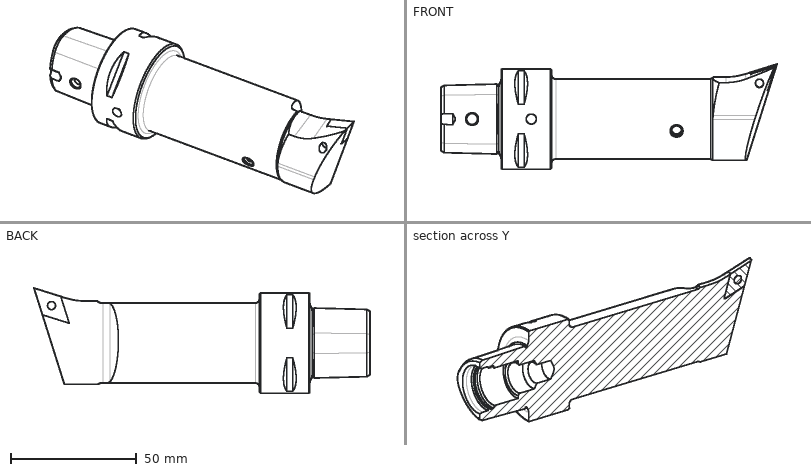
import cadquery as cq
import math


total_length = 134.0
taper_length = 24.0
tip_x = total_length - taper_length
tip_z = 22.0

lobe_offset = 6.7
lobe_radius_rear = 7.6
lobe_radius_front = 8.2
polygon_end_x = -1.7
rear_chamfer_length = 1.3
rear_chamfer_depth = 0.8
lobe_chamfer_length = 1.1
lobe_chamfer_depth = 1.5
neck_radius = 12.6
neck_end_x = -1.0
flare_start = (-0.8, 13.8)
flare_middle = (-0.3, 14.7)
flare_end_radius = 15.8

mouth_radius = 10.0
mouth_taper_length = 1.5
guide_radius = 9.6
guide_depth = 4.0
land_radius = 9.0
land_depth = 5.4
groove_radius = 9.4
groove_width = 1.3
step_chamfer = 0.5
inner_radius = 8.3
inner_depth = 18.8
pilot_radius = 6.3
pilot_chamfer = 0.8
pilot_depth = 26.8
drill_radius = 4.3
drill_depth = 34.8
drill_half_angle = math.radians(59)

key_slot_radius = 2.3
key_slot_y = -13.1
key_slot_length = 4.7
taper_hole_x = -11.5
taper_hole_radius = 2.1
taper_hole_rim_chamfer = 0.4
taper_hole_bottom_y = -10.2
taper_hole_flat_y = -12.7
flange_hole_x = 12.0
flange_hole_radius = 2.0
flange_hole_depth = 4.0

flange_radius = 40.0 / 2
flange_length = 20.2
flange_rear_chamfer = 0.4
flange_front_chamfer = 0.7
gripper_slot_x = 8.0
gripper_slot_floor_width = 2.3
gripper_slot_mouth_width = 5.1
gripper_slot_half_length = 9.4

shank_radius = 32.0 / 2
shank_end_x = 83.5
shank_fillet = 1.5

head_radius = 16.5
head_start_x = 84.4
head_flat_height = 1.6
head_upper_radius = 22.0
head_top_z = 16.8
head_top_fillet = 25.5
edge_angle = math.radians(17.5)
relief_angle = 7.0
chip_face_tilt = 3.2
ramp_foot_x = 80.3
ramp_angle = math.radians(15)
ramp_fillet = 3.0

insert_edge = 11.3
insert_thickness = 4.0
screw_radius = 1.6
screw_length = 10.7

plug_x = 70.0
plug_angle = 17.5
plug_radius = 2.0
plug_rim_radius = 2.5
plug_rim_depth = 0.5
plug_recess = 0.8
plug_length = 5.4

clearance = 40.2


def revolve_about_x(points):
    """Solid of revolution about the bar axis from (x, radius) points."""
    return cq.Workplane("XY").polyline(points).close().revolve(360, (0, 0, 0), (1, 0, 0))


def drill(radius, depth, rim_chamfer=0.0):
    """Drilled hole with a 45 degree rim chamfer, entering the XY plane from above towards -Z."""
    rim_radius = radius + rim_chamfer
    tip_depth = depth + radius / math.tan(drill_half_angle)
    points = [(0, clearance), (rim_radius, clearance)]
    if rim_chamfer > 0:
        points.append((rim_radius, 0))
    points += [(radius, -rim_chamfer), (radius, -depth), (0, -tip_depth)]
    return cq.Workplane("XZ").polyline(points).close().revolve(360, (0, 0, 0), (0, 1, 0))


def face_front(shape):
    """Turns a shape whose axis is +Z so that it points to -Y."""
    return shape.rotate((0, 0, 0), (1, 0, 0), 90)


def tilt_with_chip_face(shape):
    """Tilts a shape about the line through the cutting tip that is parallel to the bar axis."""
    return shape.rotate((0, 0, tip_z), (1, 0, tip_z), chip_face_tilt)


def polygon_outline(x, radius):
    """Closed outline of six tangent arcs in the plane at x: three lobes and three flat sides."""
    side_radius = radius + math.sqrt(3) * lobe_offset

    def centre(angle):
        return lobe_offset * math.cos(angle), lobe_offset * math.sin(angle)

    def arc_point(centre_angle, arc_radius, direction):
        y, z = centre(centre_angle)
        return y + arc_radius * math.cos(direction), z + arc_radius * math.sin(direction)

    outline = cq.Workplane("YZ", origin=(x, 0, 0)).moveTo(*arc_point(0, radius, -math.pi / 6))
    for lobe in range(3):
        axis = lobe * 2 * math.pi / 3
        side = axis + math.pi / 3
        outline = outline.threePointArc(
            arc_point(axis, radius, axis), arc_point(axis, radius, axis + math.pi / 6)
        )
        outline = outline.threePointArc(
            arc_point(side + math.pi, side_radius, side),
            arc_point(side + math.pi, side_radius, side + math.pi / 6),
        )
    return outline.close()


def polygon_frustum(x_start, radius_start, x_end, radius_end):
    """Straight loft between two outlines with the given lobe radii."""
    start = polygon_outline(x_start, radius_start).val()
    end = polygon_outline(x_end, radius_end).val()
    return cq.Workplane(cq.Solid.makeLoft([start, end], True))


def make_taper():
    """Polygon taper with chamfered ends, and the neck that flares into the gauge face."""
    rear = -taper_length
    chamfer_end = rear + rear_chamfer_length
    lobe_end = polygon_end_x + lobe_chamfer_length
    taper = polygon_frustum(rear, lobe_radius_rear - rear_chamfer_depth, chamfer_end, lobe_radius_rear)
    taper = taper.union(polygon_frustum(chamfer_end, lobe_radius_rear, polygon_end_x, lobe_radius_front))
    taper = taper.union(
        polygon_frustum(polygon_end_x, lobe_radius_front, lobe_end, lobe_radius_front - lobe_chamfer_depth)
    )
    neck = (
        cq.Workplane("XY")
        .moveTo(polygon_end_x, 0)
        .lineTo(polygon_end_x, neck_radius)
        .lineTo(neck_end_x, neck_radius)
        .lineTo(*flare_start)
        .threePointArc(flare_middle, (0, flare_end_radius))
        .lineTo(0, 0)
        .close()
        .revolve(360, (0, 0, 0), (1, 0, 0))
    )
    return taper.union(neck)


def coupling_bore():
    rear = -taper_length
    guide_end = rear + guide_depth
    land_end = rear + land_depth
    groove_end = land_end + groove_width
    inner_end = rear + inner_depth
    pilot_end = rear + pilot_depth
    drill_end = rear + drill_depth
    points = [
        (rear, 0),
        (rear, mouth_radius),
        (rear + mouth_taper_length, guide_radius),
        (guide_end, guide_radius),
        (guide_end + step_chamfer, land_radius),
        (land_end, land_radius),
        (land_end, groove_radius),
        (groove_end, groove_radius),
        (groove_end + step_chamfer, inner_radius),
        (inner_end, inner_radius),
        (inner_end, pilot_radius + pilot_chamfer),
        (inner_end + pilot_chamfer, pilot_radius),
        (pilot_end, pilot_radius),
        (pilot_end + (pilot_radius - drill_radius) / math.tan(drill_half_angle), drill_radius),
        (drill_end, drill_radius),
        (drill_end + drill_radius / math.tan(drill_half_angle), 0),
    ]
    return revolve_about_x(points)


def key_slot():
    """Round-bottomed slot with a conical end, open at the rear face."""
    slot = drill(key_slot_radius, key_slot_length)
    slot = slot.rotate((0, 0, 0), (0, 1, 0), -90)
    return slot.translate((-taper_length, key_slot_y, 0))


def taper_hole():
    depth = taper_hole_bottom_y - taper_hole_flat_y
    hole = drill(taper_hole_radius, depth, taper_hole_rim_chamfer)
    return face_front(hole).translate((taper_hole_x, taper_hole_flat_y, 0))


def flange_hole():
    hole = drill(flange_hole_radius, flange_hole_depth)
    return face_front(hole).translate((flange_hole_x, -flange_radius, 0))


def make_flange():
    flange = cq.Workplane("YZ").circle(flange_radius).extrude(flange_length)
    flange = flange.faces("<X").chamfer(flange_rear_chamfer)
    return flange.faces(">X").chamfer(flange_front_chamfer)


def gripper_slot(angle):
    """Straight slot with sloping flanks across the flange rim."""
    floor_height = math.sqrt(flange_radius**2 - gripper_slot_half_length**2)
    half_floor = gripper_slot_floor_width / 2
    flank_slope = (gripper_slot_mouth_width - gripper_slot_floor_width) / 2 / (flange_radius - floor_height)
    half_top = half_floor + flank_slope * (clearance - floor_height)
    points = [
        (gripper_slot_x - half_floor, floor_height),
        (gripper_slot_x + half_floor, floor_height),
        (gripper_slot_x + half_top, clearance),
        (gripper_slot_x - half_top, clearance),
    ]
    slot = cq.Workplane("XZ").polyline(points).close().extrude(gripper_slot_half_length, both=True)
    return slot.rotate((0, 0, 0), (1, 0, 0), angle)


def make_shank():
    shank = cq.Workplane("YZ").circle(shank_radius).extrude(shank_end_x)
    bend = shank_fillet * (1 - math.sqrt(0.5))
    fillet = (
        cq.Workplane("XY")
        .moveTo(flange_length, 0)
        .lineTo(flange_length, shank_radius + shank_fillet)
        .threePointArc(
            (flange_length + bend, shank_radius + bend), (flange_length + shank_fillet, shank_radius)
        )
        .lineTo(flange_length + shank_fillet, 0)
        .close()
        .revolve(360, (0, 0, 0), (1, 0, 0))
    )
    return shank.union(fillet).cut(chip_space())


def chip_space():
    """Space above the chip face, with a ramp and a rounded foot towards the shank."""
    ramp_run = clearance * math.tan(ramp_angle)
    points = [
        (ramp_foot_x, 0),
        (tip_x, 0),
        (tip_x, clearance),
        (ramp_foot_x - ramp_run, clearance),
    ]
    space = cq.Workplane("XY").polyline(points).close().extrude(clearance, both=True)
    space = space.edges("|Z and <Y").edges("<X").fillet(ramp_fillet)
    return tilt_with_chip_face(space)


def head_cutting_block():
    """Relieved block behind the chip face: flat top, rounded rise and the two cutting flanks."""
    rise_x = tip_x - (tip_z - head_top_z) / math.tan(edge_angle)
    tangent = head_top_fillet * math.tan(edge_angle / 2)
    rise_end = (rise_x + tangent * math.cos(edge_angle), head_top_z + tangent * math.sin(edge_angle))
    rise_middle = (
        rise_x - tangent + head_top_fillet * math.sin(edge_angle / 2),
        head_top_z + head_top_fillet * (1 - math.cos(edge_angle / 2)),
    )
    block_bottom = -clearance
    block_rear = shank_end_x - clearance
    block = (
        cq.Workplane("XZ")
        .moveTo(block_rear, head_top_z)
        .lineTo(rise_x - tangent, head_top_z)
        .threePointArc(rise_middle, rise_end)
        .lineTo(tip_x, tip_z)
        .lineTo(tip_x - (tip_z - block_bottom) * math.tan(edge_angle), block_bottom)
        .lineTo(block_rear, block_bottom)
        .close()
        .extrude(clearance / 2, taper=relief_angle)
    )
    return tilt_with_chip_face(block)


def head_section():
    """Bar of the head's cross-section: round below, larger arc above."""
    upper_centre_y = head_upper_radius - head_radius
    diagonal = math.sqrt(0.5)
    return (
        cq.Workplane("YZ", origin=(shank_end_x, 0, 0))
        .moveTo(upper_centre_y, -math.sqrt(head_radius**2 - upper_centre_y**2))
        .threePointArc((-head_radius * diagonal, -head_radius * diagonal), (-head_radius, 0))
        .lineTo(-head_radius, head_flat_height)
        .threePointArc(
            (
                upper_centre_y - head_upper_radius * diagonal,
                head_flat_height + head_upper_radius * diagonal,
            ),
            (upper_centre_y, head_flat_height + head_upper_radius),
        )
        .close()
        .extrude(clearance)
    )


def head_envelope():
    """Chamfered collar and 45 degree cone that lead from the shank to the head."""
    cone_end_x = head_start_x + clearance - head_radius
    points = [
        (shank_end_x, 0),
        (shank_end_x, shank_radius),
        (head_start_x, head_radius),
        (cone_end_x, clearance),
        (cone_end_x + clearance, clearance),
        (cone_end_x + clearance, 0),
    ]
    return revolve_about_x(points)


def make_head():
    return head_cutting_block().intersect(head_section()).intersect(head_envelope())


def rhombus_corners():
    """Insert corners in X and Z, starting at the cutting tip."""
    along = insert_edge * math.cos(edge_angle)
    across = insert_edge * math.sin(edge_angle)
    return [
        (tip_x, tip_z),
        (tip_x - along, tip_z - across),
        (tip_x - along - across, tip_z - across - along),
        (tip_x - across, tip_z - along),
    ]


def insert_blank():
    blank = cq.Workplane("XZ").polyline(rhombus_corners()).close()
    return tilt_with_chip_face(blank.extrude(insert_thickness, taper=relief_angle))


def screw_axis_cylinder(length):
    """Cylinder from the chip face into the head, through the middle of the insert."""
    near, _, far, _ = rhombus_corners()
    middle = ((near[0] + far[0]) / 2, (near[1] + far[1]) / 2)
    cylinder = cq.Workplane("XZ").center(*middle).circle(screw_radius).extrude(length)
    return tilt_with_chip_face(cylinder)


def place_plug(shape):
    """Moves a shape with axis +Z to the plug position on the shank surface."""
    shape = shape.translate((plug_x, 0, shank_radius))
    return shape.rotate((0, 0, 0), (1, 0, 0), 90 + plug_angle)


def plug_hole():
    """Flat-bottomed hole with a chamfered rim that holds the plug."""
    points = [
        (0, clearance),
        (plug_rim_radius, clearance),
        (plug_rim_radius, -plug_rim_depth / 2),
        (plug_radius, -plug_rim_depth),
        (plug_radius, -plug_recess - plug_length),
        (0, -plug_recess - plug_length),
    ]
    return place_plug(cq.Workplane("XZ").polyline(points).close().revolve(360, (0, 0, 0), (0, 1, 0)))


def make_holder():
    holder = make_taper().union(make_flange()).union(make_shank()).union(make_head())
    holder = holder.cut(coupling_bore()).cut(key_slot()).cut(taper_hole()).cut(flange_hole())
    for angle in (45, 135, 225, 315):
        holder = holder.cut(gripper_slot(angle))
    holder = holder.cut(insert_blank()).cut(screw_axis_cylinder(clearance))
    return holder.cut(plug_hole())


def make_insert():
    return insert_blank().cut(screw_axis_cylinder(clearance))


def make_insert_screw():
    return screw_axis_cylinder(screw_length)


def make_plug():
    """Plug with a round outer end, sunk below the shank surface."""
    plug = cq.Workplane("XY", origin=(0, 0, -plug_recess - plug_length)).circle(plug_radius)
    dome = cq.Workplane("XY", origin=(0, 0, -plug_recess - plug_radius)).sphere(plug_radius)
    return place_plug(plug.extrude(plug_length - plug_radius).union(dome))


holder = make_holder()
insert = make_insert()
insert_screw = make_insert_screw()
plug = make_plug()

result = cq.Compound.makeCompound([holder.val(), insert.val(), insert_screw.val(), plug.val()])